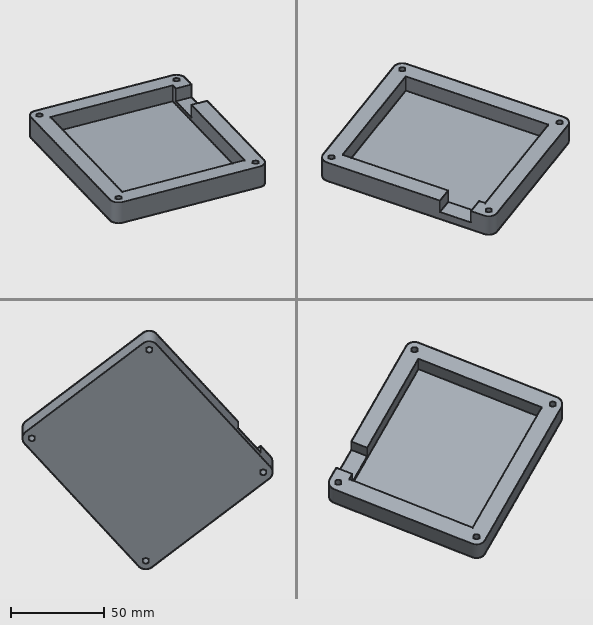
import cadquery as cq

length = 105.0
width = 92.0
height = 13.0
corner_radius = 5.0

wall = 9.5
pocket_length = length - 2 * wall
pocket_width = width - 2 * wall
pocket_depth = 10.0

notch_offset = 13.1
notch_width = 18.7
notch_depth = 8.0

hole_diameter = 3.4
hole_spacing_x = length - 2 * corner_radius
hole_spacing_y = width - 2 * corner_radius


def make_block():
    block = cq.Workplane("XY").box(length, width, height, centered=(True, True, False))
    return block.edges("|Z").fillet(corner_radius)


def make_pocket():
    return (
        cq.Workplane("XY")
        .workplane(offset=height - pocket_depth)
        .rect(pocket_length, pocket_width)
        .extrude(pocket_depth)
    )


def make_notch():
    return (
        cq.Workplane("XY")
        .box(notch_width, wall, notch_depth, centered=False)
        .translate((notch_offset - length / 2, width / 2 - wall, height - notch_depth))
    )


def make_screw_holes():
    return (
        cq.Workplane("XY")
        .rect(hole_spacing_x, hole_spacing_y, forConstruction=True)
        .vertices()
        .circle(hole_diameter / 2)
        .extrude(height)
    )


result = make_block().cut(make_pocket()).cut(make_notch()).cut(make_screw_holes())